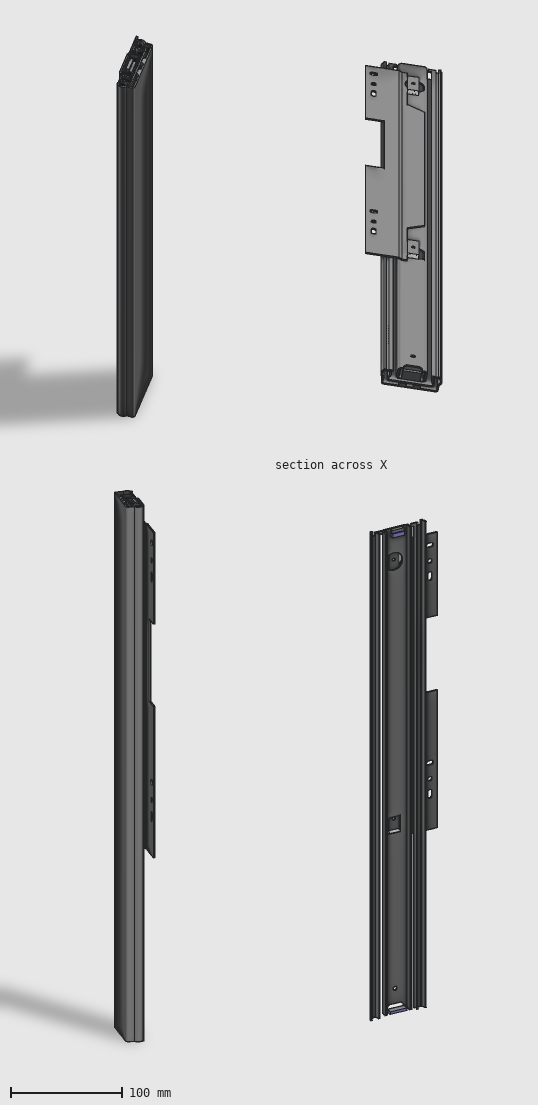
import cadquery as cq

SHEET = 1.5

LENGTH = 500.0
DEPTH = 22.5
OUTER_FRONT = 6.0
OUTER_FLANGE_Y = 26.0
OUTER_CREST_Y = 28.0
OUTER_LIP_Y = 24.0
OUTER_BEND = 2.5
OUTER_CROWN_HALF = 4.0
OUTER_CROWN_INSIDE_HALF = 3.0
RACE_X = 11.0
BEAD_Y = 6.5
BEAD_ROOT = 7.0
BEAD_TOP = 4.0
BEAD_HEIGHT = 2.5

MIDDLE_BACK = 18.0
MIDDLE_FLANGE_Y = 21.5
MIDDLE_LIP_Y = 17.5
MIDDLE_BEND = 2.0
MIDDLE_RACE_HALF = 3.5
MIDDLE_RACE_DIP = 1.5
MIDDLE_TOP = 498.5
EAR_INNER_Y = 14.5
EAR_HEIGHT = 3.0

INNER_FRONT = 2 * SHEET
INNER_BACK = 14.0
INNER_FLAT_Y = 10.5
INNER_BEND = 3.0
INNER_CORNER_RADIUS = 4.0
INNER_BOTTOM = 1.5
INNER_TOP = 497.0
RAIL_HOLE_Z = 23.0
RAIL_HOLE_DIAMETER = 4.0
NOTCH_HALF_WIDTH = 8.5
NOTCH_ARCH_HALF_WIDTH = 6.0
NOTCH_SHOULDER_Z = 4.5
NOTCH_ARCH_Z = 7.5

BRIDGE_ZS = (462.5, 196.0)
BRIDGE_HALF_LENGTH = 14.0
BRIDGE_FLAT_HALF_LENGTH = 11.0
BRIDGE_LEFT_Y = 5.5
BRIDGE_RIGHT_Y = -5.0
BRIDGE_HOLE_DIAMETER = 3.0
ROUND_OPENING_RADIUS = 9.0
ROUND_OPENING_Y = ROUND_OPENING_RADIUS - INNER_FLAT_Y
LOWER_OPENING_HIGH_Z = 200.0
LOWER_OPENING_LOW_Z = 183.0
LOWER_OPENING_SLOPE = 4.5

BRACKET_TOP = 480.0
BRACKET_BOTTOM = 176.0
BRACKET_EDGE_Y = 44.0
JOGGLE_START_Y = 13.5
WINDOW_TOP = 394.5
WINDOW_BOTTOM = 317.5
WINDOW_Y = 26.5
RELIEF_ENDS = ((429.0, 420.5, BRACKET_TOP), (228.5, 236.5, BRACKET_BOTTOM))
HOLE_Y = 36.5
HOLE_GROUP_PITCH = 224.0
WIDE_SLOT_Z = 468.5
WIDE_SLOT_LENGTH = 7.0
ROUND_HOLE_Z = 452.0
TALL_SLOT_Z = 436.5
TALL_SLOT_LENGTH = 9.0
HOLE_DIAMETER = 4.5

CAGE_FRONT = 6.5
CAGE_THICKNESS = 1.0
CORE_FRONT = INNER_FRONT + INNER_BEND
CORE_BACK = 15.0
CORE_THICKNESS = 1.0
STOP_FRONT = 7.5
STOP_HALF_WIDTH = 6.0
STOP_STEP_X = 10.5
STOP_BOTTOM = 491.0
STOP_STEP = 3.0


def box(x_range, y_range, z_range):
    """Block between three pairs of limits."""
    lows, highs = zip(x_range, y_range, z_range)
    sides = [high - low for low, high in zip(lows, highs)]
    return cq.Workplane().box(*sides, centered=False).translate(lows)


def mirrored_extrusion(half_section, bottom, top):
    """Extrude the +Y half of a section along Z and join it to its mirror image."""
    half = half_section.close().extrude(top - bottom).translate((0, 0, bottom))
    return half.union(half.mirror("XZ"))


def through_x(outline_start_x, outline, depth):
    """Extrude a (Y, Z) polygon toward +X from the given X."""
    return cq.Workplane("YZ", origin=(outline_start_x, 0, 0)).polyline(outline).close().extrude(depth)


def hole_plane(y, z):
    """Workplane at X = 0 facing +X, centred at (y, z)."""
    return cq.Workplane("YZ", origin=(0, y, z))


def make_outer_rail():
    wall = DEPTH - SHEET
    bend_x = DEPTH - OUTER_BEND
    bend_y = OUTER_FLANGE_Y - OUTER_BEND
    inside_y = OUTER_FLANGE_Y - SHEET
    lip_back = OUTER_FRONT + SHEET
    section = (
        cq.Workplane()
        .moveTo(DEPTH, 0)
        .lineTo(DEPTH, bend_y)
        .radiusArc((bend_x, OUTER_FLANGE_Y), -OUTER_BEND)
        .lineTo(RACE_X + OUTER_CROWN_HALF, OUTER_FLANGE_Y)
        .threePointArc((RACE_X, OUTER_CREST_Y), (RACE_X - OUTER_CROWN_HALF, OUTER_FLANGE_Y))
        .lineTo(OUTER_FRONT, OUTER_FLANGE_Y)
        .lineTo(OUTER_FRONT, OUTER_LIP_Y)
        .lineTo(lip_back, OUTER_LIP_Y)
        .lineTo(lip_back, inside_y)
        .lineTo(RACE_X - OUTER_CROWN_INSIDE_HALF, inside_y)
        .threePointArc(
            (RACE_X, OUTER_CREST_Y - SHEET), (RACE_X + OUTER_CROWN_INSIDE_HALF, inside_y)
        )
        .lineTo(bend_x, inside_y)
        .radiusArc((wall, bend_y), OUTER_BEND - SHEET)
        .lineTo(wall, 0)
    )
    bead = (
        cq.Workplane()
        .moveTo(wall, BEAD_Y - BEAD_ROOT / 2)
        .lineTo(wall, BEAD_Y + BEAD_ROOT / 2)
        .lineTo(wall - BEAD_HEIGHT, BEAD_Y + BEAD_TOP / 2)
        .lineTo(wall - BEAD_HEIGHT, BEAD_Y - BEAD_TOP / 2)
    )
    return mirrored_extrusion(section, 0, LENGTH).union(mirrored_extrusion(bead, 0, LENGTH))


def make_middle_rail():
    web = MIDDLE_BACK - SHEET
    bend_x = MIDDLE_BACK - MIDDLE_BEND
    bend_y = MIDDLE_FLANGE_Y - MIDDLE_BEND
    inside_y = MIDDLE_FLANGE_Y - SHEET
    race_start = RACE_X + MIDDLE_RACE_HALF
    race_end = RACE_X - MIDDLE_RACE_HALF
    section = (
        cq.Workplane()
        .moveTo(MIDDLE_BACK, 0)
        .lineTo(MIDDLE_BACK, bend_y)
        .radiusArc((bend_x, MIDDLE_FLANGE_Y), -MIDDLE_BEND)
        .lineTo(race_start, MIDDLE_FLANGE_Y)
        .threePointArc((RACE_X, MIDDLE_FLANGE_Y - MIDDLE_RACE_DIP), (race_end, MIDDLE_FLANGE_Y))
        .lineTo(OUTER_FRONT, MIDDLE_FLANGE_Y)
        .lineTo(OUTER_FRONT, MIDDLE_LIP_Y)
        .lineTo(OUTER_FRONT + SHEET, MIDDLE_LIP_Y)
        .lineTo(race_end, inside_y)
        .threePointArc((RACE_X, inside_y - MIDDLE_RACE_DIP), (race_start, inside_y))
        .lineTo(bend_x, inside_y)
        .radiusArc((web, bend_y), MIDDLE_BEND - SHEET)
        .lineTo(web, 0)
    )
    rail = mirrored_extrusion(section, 0, MIDDLE_TOP)
    ear = box(
        (OUTER_FRONT, OUTER_FRONT + SHEET),
        (EAR_INNER_Y, MIDDLE_FLANGE_Y),
        (MIDDLE_TOP - EAR_HEIGHT, MIDDLE_TOP),
    )
    return rail.union(ear).union(ear.mirror("XZ"))


def make_bridge(centre_z):
    """Raised strap with sloping ends, one sheet thick, standing on the inner rail face."""
    high = centre_z + BRIDGE_HALF_LENGTH
    low = centre_z - BRIDGE_HALF_LENGTH
    flat_high = centre_z + BRIDGE_FLAT_HALF_LENGTH
    flat_low = centre_z - BRIDGE_FLAT_HALF_LENGTH
    strap = (
        cq.Workplane("XZ", origin=(0, BRIDGE_LEFT_Y, 0))
        .polyline(
            [
                (INNER_FRONT, low),
                (0, flat_low),
                (0, flat_high),
                (INNER_FRONT, high),
                (INNER_FRONT + SHEET, high),
                (SHEET, flat_high),
                (SHEET, flat_low),
                (INNER_FRONT + SHEET, low),
            ]
        )
        .close()
        .extrude(BRIDGE_LEFT_Y - BRIDGE_RIGHT_Y)
    )
    hole_y = (BRIDGE_LEFT_Y + BRIDGE_RIGHT_Y) / 2
    return strap.cut(hole_plane(hole_y, centre_z).circle(BRIDGE_HOLE_DIAMETER / 2).extrude(SHEET))


def make_round_opening():
    """Cutter for the round opening around the upper bridge."""
    centre = hole_plane(ROUND_OPENING_Y, BRIDGE_ZS[0])
    return centre.circle(ROUND_OPENING_RADIUS).extrude(INNER_FRONT + SHEET)


def make_inner_rail():
    flange_y = INNER_FLAT_Y + INNER_BEND
    bend_x = INNER_FRONT + INNER_BEND
    inside_x = INNER_FRONT + SHEET
    inside_y = flange_y - SHEET
    section = (
        cq.Workplane()
        .moveTo(INNER_FRONT, 0)
        .lineTo(INNER_FRONT, INNER_FLAT_Y)
        .radiusArc((bend_x, flange_y), INNER_CORNER_RADIUS)
        .lineTo(INNER_BACK, flange_y)
        .lineTo(INNER_BACK, inside_y)
        .lineTo(bend_x, inside_y)
        .radiusArc((inside_x, INNER_FLAT_Y), SHEET - INNER_BEND)
        .lineTo(inside_x, 0)
    )
    rail = mirrored_extrusion(section, INNER_BOTTOM, INNER_TOP)
    rail = rail.cut(hole_plane(0, RAIL_HOLE_Z).circle(RAIL_HOLE_DIAMETER / 2).extrude(inside_x))

    end_notch = [
        (-NOTCH_HALF_WIDTH, 0),
        (-NOTCH_HALF_WIDTH, NOTCH_SHOULDER_Z),
        (-NOTCH_ARCH_HALF_WIDTH, NOTCH_ARCH_Z),
        (NOTCH_ARCH_HALF_WIDTH, NOTCH_ARCH_Z),
        (NOTCH_HALF_WIDTH, NOTCH_SHOULDER_Z),
        (NOTCH_HALF_WIDTH, 0),
    ]
    lower_opening = [
        (BRIDGE_LEFT_Y, LOWER_OPENING_LOW_Z),
        (BRIDGE_LEFT_Y, LOWER_OPENING_HIGH_Z),
        (BRIDGE_RIGHT_Y, LOWER_OPENING_HIGH_Z),
        (-INNER_FLAT_Y, LOWER_OPENING_HIGH_Z - LOWER_OPENING_SLOPE),
        (-INNER_FLAT_Y, LOWER_OPENING_LOW_Z),
    ]
    for outline in (end_notch, lower_opening):
        rail = rail.cut(through_x(INNER_FRONT, outline, SHEET))
    rail = rail.cut(make_round_opening())
    for centre_z in BRIDGE_ZS:
        rail = rail.union(make_bridge(centre_z))
    return rail


def make_bracket():
    section = [
        (0, BRACKET_EDGE_Y),
        (0, JOGGLE_START_Y),
        (SHEET, INNER_FLAT_Y),
        (SHEET, -INNER_FLAT_Y),
        (2 * SHEET, -INNER_FLAT_Y),
        (2 * SHEET, INNER_FLAT_Y),
        (SHEET, JOGGLE_START_Y),
        (SHEET, BRACKET_EDGE_Y),
    ]
    height = BRACKET_TOP - BRACKET_BOTTOM
    bracket = cq.Workplane().polyline(section).close().extrude(height)
    bracket = bracket.translate((0, 0, BRACKET_BOTTOM))

    window = box((0, SHEET), (WINDOW_Y, BRACKET_EDGE_Y), (WINDOW_BOTTOM, WINDOW_TOP))
    bracket = bracket.cut(window)

    for near_z, far_z, end_z in RELIEF_ENDS:
        relief = [
            (BRIDGE_LEFT_Y, end_z),
            (BRIDGE_LEFT_Y, near_z),
            (-INNER_FLAT_Y, far_z),
            (-INNER_FLAT_Y, end_z),
        ]
        bracket = bracket.cut(through_x(0, relief, 2 * SHEET))
    bracket = bracket.cut(make_round_opening())

    for drop in (0, HOLE_GROUP_PITCH):
        wide_slot = hole_plane(HOLE_Y, WIDE_SLOT_Z - drop).slot2D(WIDE_SLOT_LENGTH, HOLE_DIAMETER)
        round_hole = hole_plane(HOLE_Y, ROUND_HOLE_Z - drop).circle(HOLE_DIAMETER / 2)
        tall_slot = hole_plane(HOLE_Y, TALL_SLOT_Z - drop).slot2D(TALL_SLOT_LENGTH, HOLE_DIAMETER, 90)
        for hole in (wide_slot, round_hole, tall_slot):
            bracket = bracket.cut(hole.extrude(SHEET))
    return bracket


def make_cage(side):
    """Ball cage strip between the outer and middle lips; side is +1 or -1 along Y."""
    y_range = sorted((side * MIDDLE_FLANGE_Y, side * OUTER_LIP_Y))
    return box(
        (CAGE_FRONT, CAGE_FRONT + CAGE_THICKNESS),
        y_range,
        (0, MIDDLE_TOP - EAR_HEIGHT),
    )


def make_core():
    """Channel lining the inner rail, with a stop block at its top end and a foot at its bottom end."""
    web_front = CORE_BACK - CORE_THICKNESS
    half_width = INNER_FLAT_Y + INNER_BEND - SHEET
    arm_inside = half_width - CORE_THICKNESS
    section = (
        cq.Workplane()
        .moveTo(CORE_BACK, 0)
        .lineTo(CORE_BACK, half_width)
        .lineTo(CORE_FRONT, half_width)
        .lineTo(CORE_FRONT, arm_inside)
        .lineTo(web_front, arm_inside)
        .lineTo(web_front, 0)
    )
    channel = mirrored_extrusion(section, INNER_BOTTOM, MIDDLE_TOP)
    stop_y = (-STOP_HALF_WIDTH, STOP_HALF_WIDTH)
    stop = box((STOP_FRONT, STOP_STEP_X), stop_y, (STOP_BOTTOM, MIDDLE_TOP))
    stop_root = box((STOP_STEP_X, web_front), stop_y, (STOP_BOTTOM, MIDDLE_TOP - STOP_STEP))
    foot = box(
        (CORE_FRONT, web_front),
        (-NOTCH_HALF_WIDTH, NOTCH_HALF_WIDTH),
        (INNER_BOTTOM, NOTCH_SHOULDER_Z),
    )
    return channel.union(stop).union(stop_root).union(foot)


outer_rail = make_outer_rail()
middle_rail = make_middle_rail()
inner_rail = make_inner_rail()
bracket = make_bracket()
cages = [make_cage(side) for side in (1, -1)]
core = make_core()

result = cq.Compound.makeCompound(
    [
        outer_rail.val(),
        middle_rail.val(),
        inner_rail.val(),
        bracket.val(),
        *[cage.val() for cage in cages],
        core.val(),
    ]
)